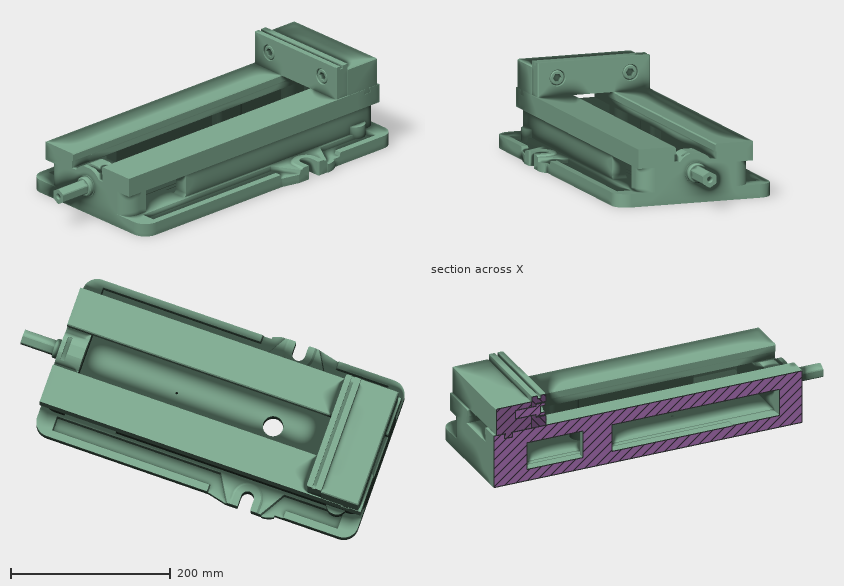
import cadquery as cq
import math

BASE_LENGTH = 426.5
PLATE_HALF_WIDTH = 105.5
PLATE_TOP = 17.0
CORNER_RADIUS = 19.0

PIVOT_Y = 283.0
EAR_HALF_WIDTH = 111.5
EAR_BUMP_HALF_WIDTH = 112.5
EAR_SLOPE_START_Y = 331.7
EAR_SLOPE_END_Y = 308.0
EAR_BUMP_END_Y = 260.0
EAR_BUMP_START_Y = 244.0
EAR_BUMP_MID = (111.0, 250.5)
EAR_BUMP_ROOT_X = 108.0
MOUNT_SLOT_WIDTH = 16.5
MOUNT_SLOT_CENTER_X = 97.0
MOUNT_SLOT_CORNER = 2.5
PICK_MARGIN = 0.5
PAD_WIDTH = 39.5
PAD_TOP_WIDTH = 34.0
PAD_HEIGHT = 2.0

POCKET_FLOOR = 11.5
POCKET_OUTER_X = 96.5
POCKET_INNER_X = 77.5
POCKET_DRAFT = 15.0
POCKET_END_MARGIN = 23.5
POCKET_RUN_OUT = 4.8
RIDGE_END_OFFSET = 51.0
DIAGONAL_OUTER_OFFSET = 22.0
DIAGONAL_INNER_OFFSET = 42.0

CENTER_HOLE_DIAMETER = 25.5
PIN_HOLE_DIAMETER = 3.15
PIN_HOLE_Y = 155.0

LUG_RADIUS = 14.0
LUG_CENTER = (68.5, 392.0)
LUG_TOP = 27.5

WALL_HALF_WIDTH = 74.0
WALL_THICKNESS = 19.0
BED_HALF_WIDTH = 77.0
BED_BOTTOM = 48.5
BED_TOP = 73.5
END_WALL = 32.0
REAR_WALL = 19.0
WINDOW_END_Y = 100.5
WINDOW_FOOT_RADIUS = 4.5

SLOT_HALF_WIDTH = 26.5
SLOT_LOWER_HALF_WIDTH = 28.0
SLOT_STEP_Z = 63.5
SLOT_FLOOR = 53.5
SLOT_CHAMFER = 1.5

CAVITY_HALF_WIDTH = WALL_HALF_WIDTH - WALL_THICKNESS
BLOCK_FACE_X = 41.5
MIDDLE_BLOCK_HALF_LENGTH = 20.5
MIDDLE_BLOCK_RADIUS = 5.5
REAR_BLOCK_START_Y = 380.5
REAR_BLOCK_RADIUS = 12.5
FLOOR_PAD_HALF_WIDTH = 35.5
FLOOR_STEP = 0.7

AXIS_Z = 38.5
BOSS_RADIUS = 25.5
BOSS_FLAT_Z = 63.5
RING_DIAMETER = 40.0
RING_LIP_DIAMETER = 28.0
RING_LIP = 1.0
COLLAR_DIAMETER = 25.0
COLLAR_FRONT_Y = -7.0
COLLAR_CHAMFER = 1.5
RETAINER_FRONT_Y = 5.5
RETAINER_THICKNESS = 5.5
RETAINER_WIDTH = 31.5
RETAINER_TOP = 57.0
RETAINER_CORNER = 1.5
NECK_DIAMETER = 19.0
DRIVE_FRONT_Y = -49.5
DRIVE_FLATS = 18.0
DRIVE_CORNERS = 20.0
CENTER_DRILL_DIAMETER = 5.0
CENTER_DRILL_MOUTH = 8.0
CENTER_DRILL_DEPTH = 7.0

JAW_HALF_WIDTH = 76.5
JAW_FRONT_Y = 373.5
JAW_REAR_Y = 423.0
JAW_TOP = 110.5
JAW_CHAMFER = 1.5
TONGUE_CENTER_Y = 406.0
TONGUE_NECK_WIDTH = 7.0
TONGUE_FOOT_WIDTH = 10.5
TONGUE_NECK_Z = 71.0
TONGUE_BOTTOM_Z = 66.5

FACE_HALF_WIDTH = 75.5
FACE_FRONT_Y = 354.0
FACE_TOP = 117.0
FACE_CHAMFER = 1.5
GROOVE_CENTER_Y = 363.5
GROOVE_WIDTH = 4.5
GROOVE_DEPTH = 4.5

BOLT_X = 49.0
BOLT_Z = 96.5
COUNTERBORE_DIAMETER = 20.0
COUNTERBORE_DEPTH = 13.5
COUNTERBORE_CHAMFER = 0.7
BOLT_HEAD_DIAMETER = 19.0
BOLT_HEAD_RECESS = 1.0
BOLT_HEAD_CHAMFER = 1.2
BOLT_SHANK_DIAMETER = 13.0
BOLT_SHANK_LENGTH = 28.5
SOCKET_FLATS = 10.0
SOCKET_DEPTH = 6.5


def box(x0, x1, y0, y1, z0, z1):
    """Axis-aligned block between the given limits."""
    return cq.Workplane("XY").box(x1 - x0, y1 - y0, z1 - z0, centered=False).translate((x0, y0, z0))


def rod(diameter, y0, y1, x=0, z=AXIS_Z):
    """Cylinder along Y."""
    return cq.Workplane("XZ", origin=(x, y0, z)).circle(diameter / 2).extrude(y0 - y1)


def hexagon(flats, y0, y1, turn=0):
    """Hexagonal prism along Y on the X-Z origin, corners on X unless turned."""
    prism = cq.Workplane("XZ", origin=(0, y0, 0)).polygon(6, flats / math.cos(math.pi / 6)).extrude(y0 - y1)
    return prism.rotate((0, 0, 0), (0, 1, 0), turn)


def half_turn(body):
    """Copy turned half a turn about the vertical line through the pivot."""
    return body.rotate((0, PIVOT_Y, 0), (0, PIVOT_Y, 1), 180)


def mirror_x(body):
    return body.mirror("YZ")


def right_ear():
    """Right ear with its curved bump toward the rear and its straight slope toward the front."""
    left = (
        cq.Workplane("XY")
        .moveTo(-BED_HALF_WIDTH, EAR_SLOPE_START_Y)
        .lineTo(-PLATE_HALF_WIDTH, EAR_SLOPE_START_Y)
        .lineTo(-EAR_HALF_WIDTH, EAR_SLOPE_END_Y)
        .lineTo(-EAR_HALF_WIDTH, EAR_BUMP_END_Y)
        .lineTo(-EAR_BUMP_HALF_WIDTH, EAR_BUMP_END_Y)
        .threePointArc((-EAR_BUMP_MID[0], EAR_BUMP_MID[1]), (-EAR_BUMP_ROOT_X, EAR_BUMP_START_Y))
        .lineTo(-BED_HALF_WIDTH, EAR_BUMP_START_Y)
        .close()
        .extrude(PLATE_TOP)
    )
    return half_turn(left)


def right_mount_slot():
    """Slot through the right ear, open at the side and round at its inner end."""
    radius = MOUNT_SLOT_WIDTH / 2
    return (
        cq.Workplane("XY")
        .moveTo(EAR_HALF_WIDTH, PIVOT_Y - radius)
        .lineTo(MOUNT_SLOT_CENTER_X, PIVOT_Y - radius)
        .threePointArc((MOUNT_SLOT_CENTER_X - radius, PIVOT_Y), (MOUNT_SLOT_CENTER_X, PIVOT_Y + radius))
        .lineTo(EAR_HALF_WIDTH, PIVOT_Y + radius)
        .close()
        .extrude(BED_TOP)
    )


def right_slot_pad():
    """Raised pad with a sloped rim around the mounting slot."""
    taper = math.degrees(math.atan2((PAD_WIDTH - PAD_TOP_WIDTH) / 2, PAD_HEIGHT))
    pad = (
        cq.Workplane("XY", origin=(MOUNT_SLOT_CENTER_X + PAD_WIDTH / 2, PIVOT_Y, PLATE_TOP))
        .slot2D(2 * PAD_WIDTH, PAD_WIDTH)
        .extrude(PAD_HEIGHT, taper=taper)
    )
    return pad.intersect(box(0, EAR_HALF_WIDTH, 0, BASE_LENGTH, 0, BED_TOP))


def right_pocket(end_y, direction):
    """Pocket from near a plate end to the ear; direction is +1 for rear, -1 for front."""
    ridge_end = PIVOT_Y + direction * RIDGE_END_OFFSET
    outside = EAR_BUMP_HALF_WIDTH + POCKET_RUN_OUT
    slope = (DIAGONAL_INNER_OFFSET - DIAGONAL_OUTER_OFFSET) / (EAR_HALF_WIDTH - POCKET_INNER_X)
    outside_offset = DIAGONAL_OUTER_OFFSET - slope * (outside - EAR_HALF_WIDTH)
    outline = [
        (POCKET_INNER_X, end_y),
        (POCKET_OUTER_X, end_y),
        (POCKET_OUTER_X, ridge_end),
        (outside, ridge_end),
        (outside, PIVOT_Y + direction * outside_offset),
        (POCKET_INNER_X, PIVOT_Y + direction * DIAGONAL_INNER_OFFSET),
    ]
    depth = PLATE_TOP - POCKET_FLOOR
    plane = cq.Workplane("XY", origin=(0, 0, PLATE_TOP))
    return plane.polyline(outline).close().extrude(-depth, taper=POCKET_DRAFT)


def round_slot_mouths(body):
    """Round the rear corner of each slot mouth."""
    corner_y = PIVOT_Y + MOUNT_SLOT_WIDTH / 2
    for corner_x in (-EAR_HALF_WIDTH, EAR_HALF_WIDTH):
        corner = cq.selectors.BoxSelector(
            (corner_x - PICK_MARGIN, corner_y - PICK_MARGIN, 0),
            (corner_x + PICK_MARGIN, corner_y + PICK_MARGIN, BED_TOP),
        )
        body = body.edges("|Z").edges(corner).fillet(MOUNT_SLOT_CORNER)
    return body


def plate():
    body = box(-PLATE_HALF_WIDTH, PLATE_HALF_WIDTH, 0, BASE_LENGTH, 0, PLATE_TOP)
    body = body.edges("|Z").fillet(CORNER_RADIUS)
    ear = right_ear()
    body = body.union(ear).union(half_turn(ear))
    for end_y, direction in ((BASE_LENGTH - POCKET_END_MARGIN, 1), (POCKET_END_MARGIN, -1)):
        pocket = right_pocket(end_y, direction)
        body = body.cut(pocket).cut(mirror_x(pocket))
    pad = right_slot_pad()
    slot = right_mount_slot()
    body = body.union(pad).union(mirror_x(pad)).cut(slot).cut(mirror_x(slot))
    return round_slot_mouths(body)


def bed():
    """Walls and bed as one solid block, round-cornered below and square above."""
    walls = box(-WALL_HALF_WIDTH, WALL_HALF_WIDTH, 0, BASE_LENGTH, 0, BED_BOTTOM)
    walls = walls.edges("|Z").fillet(CORNER_RADIUS)
    top = box(-BED_HALF_WIDTH, BED_HALF_WIDTH, 0, BASE_LENGTH, BED_BOTTOM, BED_TOP)
    return walls.union(top)


def t_slot():
    lower = box(-SLOT_LOWER_HALF_WIDTH, SLOT_LOWER_HALF_WIDTH, 0, BASE_LENGTH, SLOT_FLOOR, SLOT_STEP_Z)
    upper = box(-SLOT_HALF_WIDTH, SLOT_HALF_WIDTH, 0, BASE_LENGTH, SLOT_STEP_Z, BED_TOP)
    flare_top = SLOT_HALF_WIDTH + SLOT_CHAMFER
    flare = (
        cq.Workplane("XZ")
        .polyline([
            (-flare_top, BED_TOP),
            (-SLOT_HALF_WIDTH, BED_TOP - SLOT_CHAMFER),
            (SLOT_HALF_WIDTH, BED_TOP - SLOT_CHAMFER),
            (flare_top, BED_TOP),
        ])
        .close()
        .extrude(-BASE_LENGTH)
    )
    return lower.union(upper).union(flare)


def floor_pad():
    """Low raised strip along the middle of the cavity floor."""
    half = FLOOR_PAD_HALF_WIDTH
    return box(-half, half, END_WALL, BASE_LENGTH - REAR_WALL, PLATE_TOP, PLATE_TOP + FLOOR_STEP)


def cavity():
    """Hollow between the walls, narrowed by the blocks at the middle and the rear."""
    rear_y = BASE_LENGTH - REAR_WALL
    hollow = box(-CAVITY_HALF_WIDTH, CAVITY_HALF_WIDTH, END_WALL, rear_y, PLATE_TOP, SLOT_FLOOR)
    trough_front = WINDOW_END_Y - WINDOW_FOOT_RADIUS
    trough = box(BLOCK_FACE_X, CAVITY_HALF_WIDTH, trough_front, rear_y, PLATE_TOP - FLOOR_STEP, PLATE_TOP)
    hollow = hollow.union(trough).union(mirror_x(trough))
    hollow = hollow.cut(floor_pad())
    middle = box(
        BLOCK_FACE_X, CAVITY_HALF_WIDTH,
        PIVOT_Y - MIDDLE_BLOCK_HALF_LENGTH, PIVOT_Y + MIDDLE_BLOCK_HALF_LENGTH,
        0, SLOT_FLOOR,
    ).edges("|Z and <X").fillet(MIDDLE_BLOCK_RADIUS)
    rear = box(BLOCK_FACE_X, CAVITY_HALF_WIDTH, REAR_BLOCK_START_Y, rear_y, 0, SLOT_FLOOR)
    rear = rear.edges("|Z and <X and <Y").fillet(REAR_BLOCK_RADIUS)
    for block in (middle, rear):
        hollow = hollow.cut(block).cut(mirror_x(block))
    return hollow


def side_window():
    """Opening through both walls, rounded at the foot of its rear face."""
    window = box(-BED_HALF_WIDTH, BED_HALF_WIDTH, END_WALL, WINDOW_END_Y, PLATE_TOP, BED_BOTTOM)
    window = window.edges("|X and <Z and >Y").fillet(WINDOW_FOOT_RADIUS)
    return window.cut(floor_pad())


def screw_boss():
    boss = rod(2 * BOSS_RADIUS, 0, END_WALL)
    return boss.intersect(box(-BOSS_RADIUS, BOSS_RADIUS, 0, END_WALL, 0, BOSS_FLAT_Z))


def retainer_blank(top):
    """Upright plate astride the screw axis, with rounded upright edges."""
    half = RETAINER_WIDTH / 2
    rear_y = RETAINER_FRONT_Y + RETAINER_THICKNESS
    return box(-half, half, RETAINER_FRONT_Y, rear_y, AXIS_Z, top).edges("|Z").fillet(RETAINER_CORNER)


def tongue_bar():
    """T-shaped bar along X, sunk into the bed below the jaw."""
    neck = TONGUE_NECK_WIDTH / 2
    foot = TONGUE_FOOT_WIDTH / 2
    upper = box(-JAW_HALF_WIDTH, JAW_HALF_WIDTH, -neck, neck, TONGUE_NECK_Z, BED_TOP)
    lower = box(-JAW_HALF_WIDTH, JAW_HALF_WIDTH, -foot, foot, TONGUE_BOTTOM_Z, TONGUE_NECK_Z)
    return upper.union(lower).translate((0, TONGUE_CENTER_Y, 0))


def tongue_groove():
    """Groove for the jaw tongue, open at both sides of the bed."""
    bar = tongue_bar()
    run_out = BED_HALF_WIDTH - JAW_HALF_WIDTH
    return bar.translate((run_out, 0, 0)).union(bar.translate((-run_out, 0, 0)))


def make_base():
    lug = cq.Workplane("XY").center(*LUG_CENTER).circle(LUG_RADIUS).extrude(LUG_TOP)
    body = plate().union(bed()).union(lug).union(mirror_x(lug))
    body = body.cut(t_slot()).cut(cavity()).cut(side_window()).union(screw_boss())
    body = body.cut(rod(RING_DIAMETER, 0, RETAINER_FRONT_Y))
    body = body.cut(rod(COLLAR_DIAMETER, 0, END_WALL))
    body = body.cut(retainer_blank(BED_TOP))
    for diameter, y in ((CENTER_HOLE_DIAMETER, PIVOT_Y), (PIN_HOLE_DIAMETER, PIN_HOLE_Y)):
        body = body.cut(cq.Workplane("XY").center(0, y).circle(diameter / 2).extrude(SLOT_FLOOR))
    return body.cut(tongue_groove())


def make_ring():
    ring = rod(RING_DIAMETER, 0, RETAINER_FRONT_Y).union(rod(RING_LIP_DIAMETER, -RING_LIP, 0))
    return ring.cut(rod(COLLAR_DIAMETER, -RING_LIP, RETAINER_FRONT_Y))


def make_retainer():
    rear_y = RETAINER_FRONT_Y + RETAINER_THICKNESS
    return retainer_blank(RETAINER_TOP).cut(rod(NECK_DIAMETER, RETAINER_FRONT_Y, rear_y))


def center_drill():
    """Center hole in the drive end with a conical mouth."""
    hole_radius = CENTER_DRILL_DIAMETER / 2
    mouth_radius = CENTER_DRILL_MOUTH / 2
    cone = mouth_radius - hole_radius
    profile = [(0, 0), (mouth_radius, 0), (hole_radius, cone), (hole_radius, CENTER_DRILL_DEPTH),
               (0, CENTER_DRILL_DEPTH)]
    drill = cq.Workplane("XY").polyline(profile).close().revolve(360, (0, 0, 0), (0, 1, 0))
    return drill.translate((0, DRIVE_FRONT_Y, AXIS_Z))


def make_lead_screw():
    retainer_rear_y = RETAINER_FRONT_Y + RETAINER_THICKNESS
    collar = rod(COLLAR_DIAMETER, COLLAR_FRONT_Y, RETAINER_FRONT_Y).edges("<Y").chamfer(COLLAR_CHAMFER)
    neck = rod(NECK_DIAMETER, RETAINER_FRONT_Y, retainer_rear_y)
    journal = rod(COLLAR_DIAMETER, retainer_rear_y, END_WALL)
    drive = hexagon(DRIVE_FLATS, DRIVE_FRONT_Y, COLLAR_FRONT_Y, turn=30).translate((0, 0, AXIS_Z))
    drive = drive.intersect(rod(DRIVE_CORNERS, DRIVE_FRONT_Y, COLLAR_FRONT_Y))
    return collar.union(neck).union(journal).union(drive).cut(center_drill())


def bolt_head_y():
    return FACE_FRONT_Y + BOLT_HEAD_RECESS


def bolt_seat_y():
    return FACE_FRONT_Y + COUNTERBORE_DEPTH


def bolt_end_y():
    return bolt_seat_y() + BOLT_SHANK_LENGTH


def make_jaw():
    body = box(-JAW_HALF_WIDTH, JAW_HALF_WIDTH, JAW_FRONT_Y, JAW_REAR_Y, BED_TOP, JAW_TOP)
    body = body.faces(">Z").edges().chamfer(JAW_CHAMFER)
    gap = SLOT_HALF_WIDTH + SLOT_CHAMFER
    body = body.union(tongue_bar().cut(box(-gap, gap, JAW_FRONT_Y, JAW_REAR_Y, 0, BED_TOP)))
    for x in (-BOLT_X, BOLT_X):
        body = body.cut(rod(BOLT_SHANK_DIAMETER, JAW_FRONT_Y, bolt_end_y(), x, BOLT_Z))
    return body


def make_jaw_face():
    body = box(-FACE_HALF_WIDTH, FACE_HALF_WIDTH, FACE_FRONT_Y, JAW_FRONT_Y, BED_TOP, FACE_TOP)
    body = body.edges("|Z and <Y").chamfer(FACE_CHAMFER)
    groove_front = GROOVE_CENTER_Y - GROOVE_WIDTH / 2
    groove_rear = GROOVE_CENTER_Y + GROOVE_WIDTH / 2
    body = body.cut(
        box(-FACE_HALF_WIDTH, FACE_HALF_WIDTH, groove_front, groove_rear, FACE_TOP - GROOVE_DEPTH, FACE_TOP)
    )
    for x in (-BOLT_X, BOLT_X):
        body = body.cut(rod(COUNTERBORE_DIAMETER, FACE_FRONT_Y, bolt_seat_y(), x, BOLT_Z))
        body = body.cut(rod(BOLT_SHANK_DIAMETER, FACE_FRONT_Y, JAW_FRONT_Y, x, BOLT_Z))
    return body.faces("<Y").edges("%CIRCLE").chamfer(COUNTERBORE_CHAMFER)


def make_bolt(x):
    head = rod(BOLT_HEAD_DIAMETER, bolt_head_y(), bolt_seat_y(), x, BOLT_Z)
    head = head.edges("<Y").chamfer(BOLT_HEAD_CHAMFER)
    shank = rod(BOLT_SHANK_DIAMETER, bolt_seat_y(), bolt_end_y(), x, BOLT_Z)
    socket = hexagon(SOCKET_FLATS, bolt_head_y(), bolt_head_y() + SOCKET_DEPTH).translate((x, 0, BOLT_Z))
    return head.union(shank).cut(socket)


base = make_base()
ring = make_ring()
retainer = make_retainer()
lead_screw = make_lead_screw()
jaw = make_jaw()
jaw_face = make_jaw_face()
bolts = [make_bolt(x) for x in (-BOLT_X, BOLT_X)]

result = cq.Compound.makeCompound([
    base.val(),
    ring.val(),
    retainer.val(),
    lead_screw.val(),
    jaw.val(),
    jaw_face.val(),
    *[bolt.val() for bolt in bolts],
])